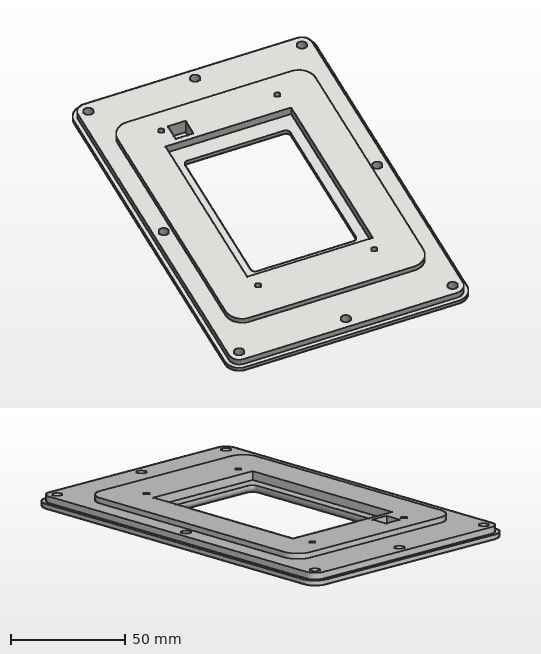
import cadquery as cq
FLANGE_LENGTH = 177.1
FLANGE_WIDTH = 115.8
FLANGE_HEIGHT = 2.5
FLANGE_CORNER_RADIUS = 6.9
FLANGE_EDGE_RADIUS = 1.0

LEDGE_WIDTH = 2.0
PLATE_LENGTH = FLANGE_LENGTH - 2 * LEDGE_WIDTH
PLATE_WIDTH = FLANGE_WIDTH - 2 * LEDGE_WIDTH
PLATE_HEIGHT = 3.0
PLATE_CORNER_RADIUS = FLANGE_CORNER_RADIUS - LEDGE_WIDTH
PLATE_TOP = FLANGE_HEIGHT + PLATE_HEIGHT

PAD_LENGTH = 132.7
PAD_WIDTH = 94.6
PAD_HEIGHT = 2.5
PAD_CORNER_RADIUS = 8.0
TOTAL_HEIGHT = PLATE_TOP + PAD_HEIGHT

RECESS_LENGTH = 88.4
RECESS_WIDTH = 60.0
RECESS_CENTER_X = -1.5
RECESS_FLOOR = 4.0
WINDOW_LENGTH = 75.0
WINDOW_WIDTH = 50.2
WINDOW_CORNER_RADIUS = 2.0
WINDOW_EDGE_RADIUS = 3.0
RIM_SELECTION_MARGIN = 0.1

RIM_HOLE_DIAMETER = 4.5
RIM_HOLE_X = 81.6
RIM_HOLE_Y = 51.0

SCREW_HOLE_DIAMETER = 2.75
SCREW_HOLE_DEPTH = 5.5
SCREW_SPACING_X = 105.0
SCREW_SPACING_Y = 55.5
SCREW_CENTER_X = -3.0

POCKET_SIDE = 8.5
POCKET_FLOOR = 1.0
POCKET_X = -52.5
POCKET_Y = -19.8
POCKET_HOLE_DIAMETER = 4.6


def rounded_slab(length, width, height, corner_radius, bottom):
    """Rectangular slab with rounded vertical edges, centred on the Z axis."""
    slab = cq.Workplane("XY").workplane(offset=bottom).rect(length, width).extrude(height)
    return slab.edges("|Z").fillet(corner_radius)


def stepped_body():
    """Edge-rounded flange, middle plate and raised pad stacked into one solid."""
    flange = rounded_slab(FLANGE_LENGTH, FLANGE_WIDTH, FLANGE_HEIGHT, FLANGE_CORNER_RADIUS, 0)
    flange = flange.faces("<Z").edges().fillet(FLANGE_EDGE_RADIUS)
    plate = rounded_slab(PLATE_LENGTH, PLATE_WIDTH, PLATE_HEIGHT, PLATE_CORNER_RADIUS, FLANGE_HEIGHT)
    pad = rounded_slab(PAD_LENGTH, PAD_WIDTH, PAD_HEIGHT, PAD_CORNER_RADIUS, PLATE_TOP)
    return flange.union(plate).union(pad)


def box_pocket(length, width, center_x, center_y, floor):
    """Cutter for a sharp-cornered pocket open at the top of the part."""
    outline = cq.Workplane("XY").workplane(offset=floor).center(center_x, center_y).rect(length, width)
    return outline.extrude(TOTAL_HEIGHT - floor)


def round_holes(points, diameter, floor=0.0):
    """Cutter for vertical holes reaching from the given floor to the top of the part."""
    centers = cq.Workplane("XY").workplane(offset=floor).pushPoints(points)
    return centers.circle(diameter / 2).extrude(TOTAL_HEIGHT - floor)


def display_opening():
    """Cutter for the recess and the round-cornered window below it."""
    recess = box_pocket(RECESS_LENGTH, RECESS_WIDTH, RECESS_CENTER_X, 0, RECESS_FLOOR)
    window = rounded_slab(WINDOW_LENGTH, WINDOW_WIDTH, TOTAL_HEIGHT, WINDOW_CORNER_RADIUS, 0)
    return recess.union(window)


def rim_holes():
    """Cutter for the eight rim holes: four corners and four mid-sides."""
    points = [
        (column * RIM_HOLE_X, row * RIM_HOLE_Y)
        for column in (-1, 0, 1)
        for row in (-1, 0, 1)
        if (column, row) != (0, 0)
    ]
    return round_holes(points, RIM_HOLE_DIAMETER)


def screw_holes():
    """Cutter for the four blind screw holes in the pad."""
    points = [
        (SCREW_CENTER_X + column * SCREW_SPACING_X / 2, row * SCREW_SPACING_Y / 2)
        for column in (-1, 1)
        for row in (-1, 1)
    ]
    return round_holes(points, SCREW_HOLE_DIAMETER, TOTAL_HEIGHT - SCREW_HOLE_DEPTH)


def square_pocket():
    """Cutter for the square pocket and the hole through its floor."""
    pocket = box_pocket(POCKET_SIDE, POCKET_SIDE, POCKET_X, POCKET_Y, POCKET_FLOOR)
    return pocket.union(round_holes([(POCKET_X, POCKET_Y)], POCKET_HOLE_DIAMETER))


def round_window_rim(body):
    """Round the lower rim of the window, on the underside of the part."""
    reach_x = WINDOW_LENGTH / 2 + RIM_SELECTION_MARGIN
    reach_y = WINDOW_WIDTH / 2 + RIM_SELECTION_MARGIN
    reach_z = RIM_SELECTION_MARGIN
    rim = cq.selectors.BoxSelector((-reach_x, -reach_y, -reach_z), (reach_x, reach_y, reach_z))
    return body.edges(rim).fillet(WINDOW_EDGE_RADIUS)


result = stepped_body()
for cutter in (display_opening(), rim_holes(), screw_holes(), square_pocket()):
    result = result.cut(cutter)
result = round_window_rim(result)